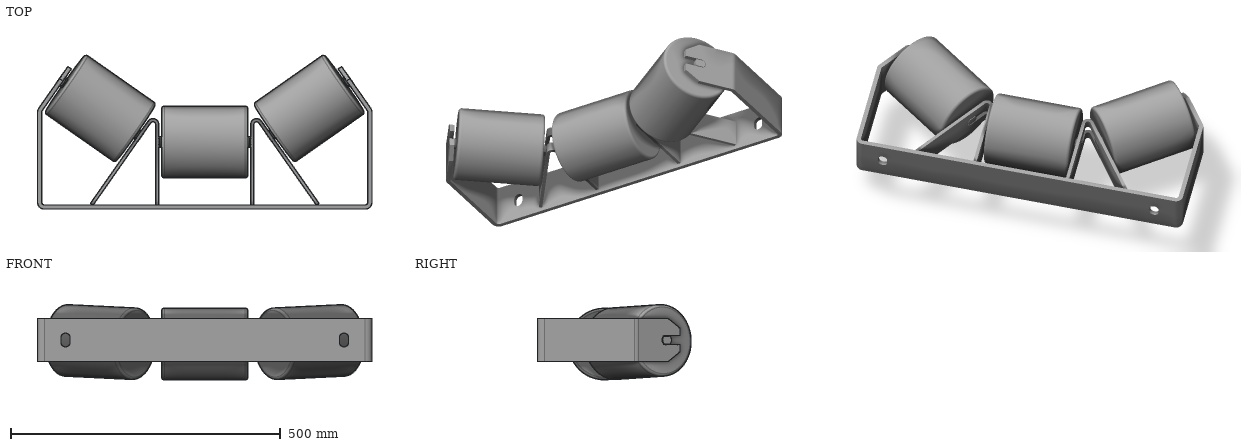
import cadquery as cq
import math

frame_width = 620.0
frame_height = 80.0
strip_thickness = 8.0
strip_bend_radius = 13.0
leg_bend_start = 180.0
wing_angle = 35.0
wing_length = 94.0
wing_tip_width = 44.5
wing_taper_length = 27.0
mount_slot_spacing = 516.0
mount_slot_length = 25.5
mount_slot_width = 17.5

bracket_gap = 170.0
bracket_thickness = 6.0
bracket_height = 50.0
bracket_top = 168.0
bracket_bend_radius = 11.0
weld_depth = 0.5

roller_diameter = 133.0
roller_length = 160.0
roller_edge_radius = 5.0
shaft_diameter = 20.0
shaft_across_flats = 14.0
slot_width = 17.0
shoulder_gap = 2.5
shaft_drop = 7.5
middle_shaft_y = 124.5
wing_shaft_distance = 65.0
side_slot_clearance = 3.0

half_width = frame_width / 2
sin_wing = math.sin(math.radians(wing_angle))
cos_wing = math.cos(math.radians(wing_angle))
wing_outward = cq.Vector(cos_wing, sin_wing, 0)
wing_upward = cq.Vector(-sin_wing, cos_wing, 0)
leg_bend_centre = cq.Vector(half_width - strip_bend_radius, leg_bend_start, 0)
wing_start = leg_bend_centre + wing_outward * strip_bend_radius
bracket_face_x = bracket_gap / 2
bracket_bend_centre = cq.Vector(
    bracket_face_x + bracket_bend_radius, bracket_top - bracket_bend_radius, 0)
brace_start = bracket_bend_centre + wing_outward * bracket_bend_radius

side_shaft_outer = wing_start + wing_upward * wing_shaft_distance
wing_to_brace = (side_shaft_outer - brace_start).dot(wing_outward)
side_shaft_inner = (side_shaft_outer - wing_outward * (wing_to_brace + bracket_thickness)
                    - cq.Vector(0, 0, shaft_drop))
side_shaft_vector = side_shaft_inner - side_shaft_outer
side_shaft_plane = cq.Plane(side_shaft_outer, wing_upward, side_shaft_vector)
side_roller_start = strip_thickness + (wing_to_brace - strip_thickness - roller_length) / 2

middle_shaft_length = bracket_gap + 2 * bracket_thickness
middle_shaft_plane = cq.Plane(
    (-middle_shaft_length / 2, middle_shaft_y, -shaft_drop), (0, 1, 0), (1, 0, 0))


def mirrored_pair(shape):
    return [shape, shape.mirror("YZ")]


def arc_point(centre, radius, degrees):
    angle = math.radians(degrees)
    return (centre.x + radius * math.cos(angle), centre.y + radius * math.sin(angle))


def strip_half():
    """Back plate, leg and wing of the +X half, following the outside then the inside."""
    inner_radius = strip_bend_radius - strip_thickness
    corner_centre = cq.Vector(half_width - strip_bend_radius, strip_bend_radius, 0)
    tip = wing_start + wing_upward * wing_length
    inner_tip = tip - wing_outward * strip_thickness
    half_bend = wing_angle / 2
    return (
        cq.Workplane("XY", origin=(0, 0, -frame_height / 2))
        .moveTo(0, 0)
        .lineTo(corner_centre.x, 0)
        .threePointArc(arc_point(corner_centre, strip_bend_radius, -45), (half_width, corner_centre.y))
        .lineTo(half_width, leg_bend_start)
        .threePointArc(arc_point(leg_bend_centre, strip_bend_radius, half_bend), wing_start.toTuple()[:2])
        .lineTo(tip.x, tip.y)
        .lineTo(inner_tip.x, inner_tip.y)
        .lineTo(*arc_point(leg_bend_centre, inner_radius, wing_angle))
        .threePointArc(arc_point(leg_bend_centre, inner_radius, half_bend),
                       (half_width - strip_thickness, leg_bend_start))
        .lineTo(half_width - strip_thickness, corner_centre.y)
        .threePointArc(arc_point(corner_centre, inner_radius, -45), (corner_centre.x, strip_thickness))
        .lineTo(0, strip_thickness)
        .close()
        .extrude(frame_height)
    )


def wing_corner_cuts():
    """Triangular prisms that taper the wing to its narrower tip, above and below."""
    tip = wing_start + wing_upward * wing_length
    wing_plane = cq.Plane(tip, wing_upward, wing_outward)
    cuts = cq.Workplane(wing_plane)
    for side in (-1, 1):
        cuts = cuts.polyline([
            (0, side * wing_tip_width / 2),
            (0, side * frame_height / 2),
            (-wing_taper_length, side * frame_height / 2),
        ]).close()
    return cuts.extrude(2 * strip_thickness, both=True)


def bracket():
    """Straight leg, round bend and sloping leg that ends on the back plate."""
    inner_radius = bracket_bend_radius - bracket_thickness
    middle_of_bend = (180 + wing_angle) / 2
    drop = brace_start.y - bracket_thickness * sin_wing - strip_thickness + weld_depth
    end = brace_start - wing_upward * (drop / cos_wing)
    inner_end = end - wing_outward * bracket_thickness
    return (
        cq.Workplane("XY", origin=(0, 0, -shaft_drop - bracket_height / 2))
        .moveTo(bracket_face_x, strip_thickness)
        .lineTo(bracket_face_x, bracket_bend_centre.y)
        .threePointArc(arc_point(bracket_bend_centre, bracket_bend_radius, middle_of_bend),
                       (brace_start.x, brace_start.y))
        .lineTo(end.x, end.y)
        .lineTo(inner_end.x, inner_end.y)
        .lineTo(*arc_point(bracket_bend_centre, inner_radius, wing_angle))
        .threePointArc(arc_point(bracket_bend_centre, inner_radius, middle_of_bend),
                       (bracket_face_x + bracket_thickness, bracket_bend_centre.y))
        .lineTo(bracket_face_x + bracket_thickness, strip_thickness)
        .close()
        .extrude(bracket_height)
    )


def flatted_shaft(plane, length):
    flats = cq.Workplane(plane).rect(shaft_diameter, shaft_across_flats).extrude(length)
    return cq.Workplane(plane).circle(shaft_diameter / 2).extrude(length).intersect(flats)


def shaft_slot(plane, start, depth, reach, clearance):
    """Slot running out along the plane's local X, with its round end centred below the shaft axis."""
    length = reach + clearance
    at_end = cq.Workplane(plane).workplane(offset=start).center(-clearance, 0)
    round_end = at_end.circle(slot_width / 2).extrude(depth)
    return at_end.center(length / 2, 0).rect(length, slot_width).extrude(depth).union(round_end)


def bend_slot():
    """Gap through the bracket bend that joins the slots of its two legs."""
    size_x = 2 * bracket_bend_radius
    size_y = bracket_bend_radius
    return cq.Workplane("XY").box(size_x, size_y, slot_width, centered=(False, False, True)).translate(
        (bracket_face_x, bracket_bend_centre.y, -shaft_drop))


def roller(plane, shaft_length, roller_start):
    """Roller with rounded rims on a shaft whose flats reach out to both ends."""
    drum = (
        cq.Workplane(plane).workplane(offset=roller_start)
        .circle(roller_diameter / 2).extrude(roller_length)
        .edges().fillet(roller_edge_radius)
    )
    round_shaft = (
        cq.Workplane(plane).workplane(offset=roller_start - shoulder_gap)
        .circle(shaft_diameter / 2).extrude(roller_length + 2 * shoulder_gap)
    )
    return drum.union(round_shaft).union(flatted_shaft(plane, shaft_length))


def mount_slots():
    return (
        cq.Workplane("XZ").pushPoints([(-mount_slot_spacing / 2, 0), (mount_slot_spacing / 2, 0)])
        .slot2D(mount_slot_length, mount_slot_width, 90)
        .extrude(-strip_thickness)
    )


def frame_with_middle_roller():
    """Strip, both brackets and the middle roller fixed between them, as one solid."""
    body = cq.Workplane("XY")
    for half in mirrored_pair(strip_half().cut(wing_corner_cuts()).union(bracket())):
        body = body.union(half)

    straight_reach = bracket_bend_centre.y - middle_shaft_y
    brace_reach = (brace_start - side_shaft_inner).dot(wing_upward)
    brace_slot_start = side_shaft_vector.Length - 2 * bracket_thickness
    wing_slot = shaft_slot(
        side_shaft_plane, -strip_thickness, 3 * strip_thickness, wing_length, side_slot_clearance)
    brace_slot = shaft_slot(
        side_shaft_plane, brace_slot_start, 3 * bracket_thickness, brace_reach, side_slot_clearance)
    straight_slot = shaft_slot(middle_shaft_plane, 0, middle_shaft_length, straight_reach, 0)
    side_cuts = [cut for slot in (wing_slot, brace_slot, bend_slot()) for cut in mirrored_pair(slot)]
    for cut in [mount_slots(), straight_slot, *side_cuts]:
        body = body.cut(cut)

    middle_start = (middle_shaft_length - roller_length) / 2
    return body.union(roller(middle_shaft_plane, middle_shaft_length, middle_start))


frame = frame_with_middle_roller()
side_rollers = mirrored_pair(roller(side_shaft_plane, side_shaft_vector.Length, side_roller_start))

result = cq.Compound.makeCompound([frame.val(), *[side.val() for side in side_rollers]])